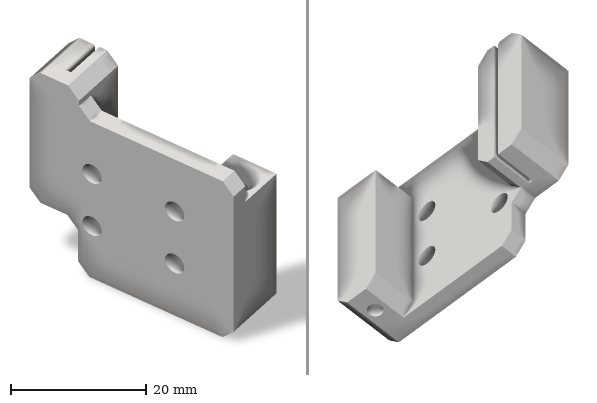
import cadquery as cq
import math

length = 37.1
depth = 11.0
height = 35.0
chamfer = 2.0

plate_left = 8.85
plate_thickness = 3.0
plate_height = 30.0

tower_width = 9.0
tower_depth = 10.0
tower_bottom = 10.0

slot_left = 4.8
slot_right = 5.6
slot_floor = 2.75
lip_radius = 0.5

mount_diameter = 3.5
mount_left_x = 11.4
mount_low_z = 10.0
mount_spacing_x = 15.0
mount_spacing_z = 10.0

block_width = 7.9
block_height = 25.0
screw_diameter = 2.5
sink_diameter = 6.35
sink_depth = (sink_diameter - screw_diameter) / 2


def bar(x_min, x_max, y_max, z_min, z_max):
    """Rectangular bar standing on the front plane y = 0."""
    return cq.Workplane("XY").box(
        x_max - x_min, y_max, z_max - z_min, centered=False
    ).translate((x_min, 0, z_min))


def make_plate():
    """Front plate, including the area in front of the tower and sloped inner corners."""
    outline = [
        (plate_left + chamfer, 0),
        (length - chamfer, 0),
        (length, chamfer),
        (length, plate_height - chamfer),
        (length - chamfer, plate_height),
        (tower_width + chamfer, plate_height),
        (tower_width, plate_height + chamfer),
        (tower_width, height - chamfer),
        (tower_width - chamfer, height),
        (chamfer, height),
        (0, height - chamfer),
        (0, tower_bottom + chamfer),
        (chamfer, tower_bottom),
        (plate_left - chamfer, tower_bottom),
        (plate_left, tower_bottom - chamfer),
        (plate_left, chamfer),
    ]
    return cq.Workplane("XZ").polyline(outline).close().extrude(-plate_thickness)


def make_tower():
    body = bar(0, tower_width, tower_depth, tower_bottom, height)
    return body.edges("|Y").chamfer(chamfer)


def make_slot():
    arc_offset = lip_radius * (1 - math.sqrt(0.5))
    slot = (
        cq.Workplane("XZ")
        .moveTo(slot_left - lip_radius, height)
        .lineTo(slot_right, height)
        .lineTo(slot_right, tower_bottom)
        .lineTo(slot_left, tower_bottom)
        .lineTo(slot_left, height - lip_radius)
        .threePointArc((slot_left - arc_offset, height - arc_offset), (slot_left - lip_radius, height))
        .close()
        .extrude(slot_floor - tower_depth)
    )
    return slot.translate((0, slot_floor, 0))


def make_block():
    block = bar(length - block_width, length, depth, 0, block_height)
    block = block.edges("|Y and <Z").chamfer(chamfer)
    screw_x = length - block_width / 2
    screw_y = (plate_thickness + depth) / 2
    screw_hole = cq.Workplane("XY").center(screw_x, screw_y).circle(screw_diameter / 2).extrude(block_height)
    sink = cq.Solid.makeCone(
        screw_diameter / 2,
        sink_diameter / 2,
        sink_depth,
        pnt=cq.Vector(screw_x, screw_y, block_height - sink_depth),
    )
    return block.cut(screw_hole).cut(cq.Workplane(sink))


def make_mount_holes():
    hole_points = [
        (mount_left_x + column * mount_spacing_x, mount_low_z + row * mount_spacing_z)
        for column in range(2)
        for row in range(2)
    ]
    return cq.Workplane("XZ").pushPoints(hole_points).circle(mount_diameter / 2).extrude(-plate_thickness)


result = make_plate().union(make_tower()).union(make_block())
result = result.cut(make_slot()).cut(make_mount_holes())